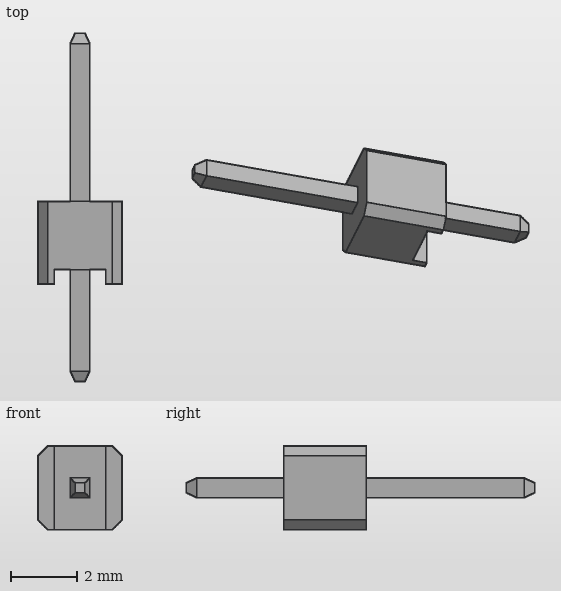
import cadquery as cq

housing_width = 2.54
housing_length = 2.5
housing_chamfer = 0.3

channel_width = 1.54
channel_depth = 0.44

pin_width = 0.6
pin_length = 10.52
pin_front_length = 2.94
tip_length = 0.32
tip_width = 0.3

pin_front = -pin_front_length
pin_back = pin_front + pin_length


def make_housing():
    block = cq.Workplane("XY").box(
        housing_width, housing_length, housing_width, centered=(True, False, True)
    )
    block = block.edges("|Y").chamfer(housing_chamfer)
    channel = cq.Workplane("XY").box(
        channel_width, channel_depth, housing_width, centered=(True, False, True)
    )
    return block.cut(channel)


def make_tip(base_y, end_y):
    """Square frustum narrowing from the pin section at base_y to the tip at end_y."""
    return (
        cq.Workplane("XZ", origin=(0, base_y, 0))
        .rect(pin_width, pin_width)
        .workplane(offset=base_y - end_y)
        .rect(tip_width, tip_width)
        .loft(ruled=True)
    )


def make_pin():
    shank_front = pin_front + tip_length
    shank_back = pin_back - tip_length
    shank = cq.Workplane("XY", origin=(0, shank_front, 0)).box(
        pin_width, shank_back - shank_front, pin_width, centered=(True, False, True)
    )
    front_tip = make_tip(shank_front, pin_front)
    back_tip = make_tip(shank_back, pin_back)
    return shank.union(front_tip).union(back_tip)


result = make_housing().union(make_pin())